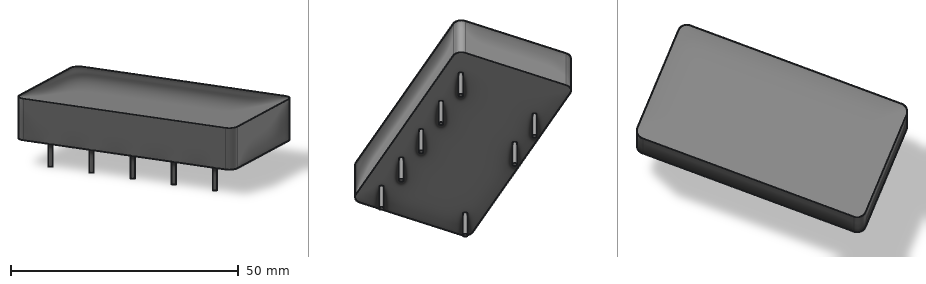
import cadquery as cq

case_length = 53.85
case_width = 28.45
case_height = 9.55
corner_radius = 2.0

pin_diameter = 1.0
pin_length = 6.35
pin_span = 40.65
pin_pitch = pin_span / 8
row_spacing = pin_span / 2

front_row_places = [-4, -2, 0, 2, 4]
back_row_places = [-4, 1, 3]


def make_case():
    """Block standing on Z = 0."""
    block = cq.Workplane("XY").box(case_length, case_width, case_height, centered=(True, True, False))
    return block.edges("|Z").fillet(corner_radius)


def make_pin_row(places, row_y):
    """Round pins hanging from the underside of the case."""
    centers = [(place * pin_pitch, row_y) for place in places]
    return cq.Workplane("XY").pushPoints(centers).circle(pin_diameter / 2).extrude(-pin_length)


front_row = make_pin_row(front_row_places, -row_spacing / 2)
back_row = make_pin_row(back_row_places, row_spacing / 2)
result = make_case().union(front_row).union(back_row)